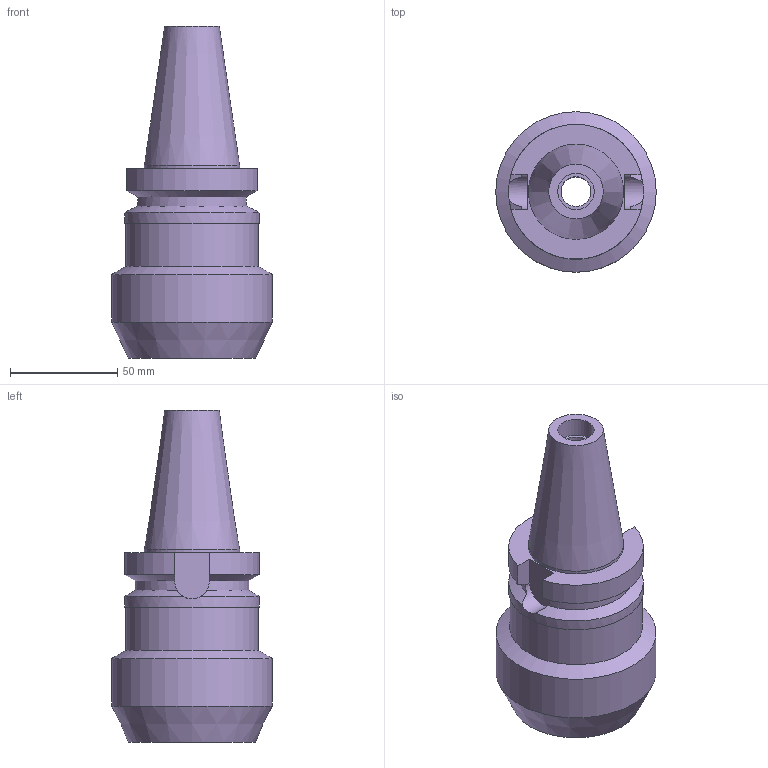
import cadquery as cq
import math

TOTAL_HEIGHT = 155.1
GAUGE_HEIGHT = 90.0
FLANGE_TOP = 88.5
GROOVE_CENTER = 73.1
FLANGE_BOTTOM = 63.0
BODY_TOP = 39.0
NOSE_HEIGHT = 16.8

GAUGE_DIAMETER = 44.45
TAPER_RATIO = 7 / 24
FLANGE_DIAMETER = 63.0
GROOVE_DIAMETER = 53.0
NECK_DIAMETER = 62.0
BODY_DIAMETER = 75.0
NOSE_DIAMETER = 59.6

SHOULDER_ANGLE = 30.0
GROOVE_FLOOR_HEIGHT = 4.3

BORE_DIAMETER = 14.0
MOUTH_DIAMETER = 17.0
MOUTH_DEPTH = 9.0

SLOT_WIDTH = 16.1
SLOT_FLOOR_OFFSET = 22.6
SLOT_BOTTOM = 66.8

CUT_CLEARANCE = 1.0


def shoulder_rise(large_diameter, small_diameter):
    """Height of a sloped shoulder between two diameters."""
    return (large_diameter - small_diameter) / 2 * math.tan(math.radians(SHOULDER_ANGLE))


def make_body():
    """Revolve the outer profile: nose, body, neck, grooved flange and taper."""
    taper_tip_diameter = GAUGE_DIAMETER - TAPER_RATIO * (TOTAL_HEIGHT - GAUGE_HEIGHT)
    neck_bottom = BODY_TOP + shoulder_rise(BODY_DIAMETER, NECK_DIAMETER)
    flank_rise = shoulder_rise(FLANGE_DIAMETER, GROOVE_DIAMETER)
    groove_floor_bottom = GROOVE_CENTER - GROOVE_FLOOR_HEIGHT / 2
    groove_floor_top = GROOVE_CENTER + GROOVE_FLOOR_HEIGHT / 2

    profile = (
        cq.Workplane("XZ")
        .lineTo(NOSE_DIAMETER / 2, 0)
        .lineTo(BODY_DIAMETER / 2, NOSE_HEIGHT)
        .lineTo(BODY_DIAMETER / 2, BODY_TOP)
        .lineTo(NECK_DIAMETER / 2, neck_bottom)
        .lineTo(NECK_DIAMETER / 2, FLANGE_BOTTOM)
        .lineTo(FLANGE_DIAMETER / 2, FLANGE_BOTTOM)
        .lineTo(FLANGE_DIAMETER / 2, groove_floor_bottom - flank_rise)
        .lineTo(GROOVE_DIAMETER / 2, groove_floor_bottom)
        .lineTo(GROOVE_DIAMETER / 2, groove_floor_top)
        .lineTo(FLANGE_DIAMETER / 2, groove_floor_top + flank_rise)
        .lineTo(FLANGE_DIAMETER / 2, FLANGE_TOP)
        .lineTo(GAUGE_DIAMETER / 2, FLANGE_TOP)
        .lineTo(GAUGE_DIAMETER / 2, GAUGE_HEIGHT)
        .lineTo(taper_tip_diameter / 2, TOTAL_HEIGHT)
        .lineTo(0, TOTAL_HEIGHT)
        .close()
    )
    return profile.revolve(360, (0, 0, 0), (0, 1, 0))


def make_bore():
    """Through bore with a wider mouth at the small end of the taper."""
    through_bore = cq.Workplane("XY").circle(BORE_DIAMETER / 2).extrude(TOTAL_HEIGHT)
    mouth = (
        cq.Workplane("XY")
        .workplane(offset=TOTAL_HEIGHT - MOUTH_DEPTH)
        .circle(MOUTH_DIAMETER / 2)
        .extrude(MOUTH_DEPTH)
    )
    return through_bore.union(mouth)


def make_drive_slot():
    """Round-bottomed slot on the +X side, open at the flange top and rim."""
    half_width = SLOT_WIDTH / 2
    arc_center = SLOT_BOTTOM + half_width
    slot_depth = FLANGE_DIAMETER / 2 - SLOT_FLOOR_OFFSET + CUT_CLEARANCE
    slot_top = FLANGE_TOP + CUT_CLEARANCE
    return (
        cq.Workplane("YZ")
        .workplane(offset=SLOT_FLOOR_OFFSET)
        .moveTo(-half_width, slot_top)
        .lineTo(-half_width, arc_center)
        .threePointArc((0, SLOT_BOTTOM), (half_width, arc_center))
        .lineTo(half_width, slot_top)
        .close()
        .extrude(slot_depth)
    )


result = make_body().cut(make_bore())
for slot_angle in (0, 180):
    drive_slot = make_drive_slot().rotate((0, 0, 0), (0, 0, 1), slot_angle)
    result = result.cut(drive_slot)